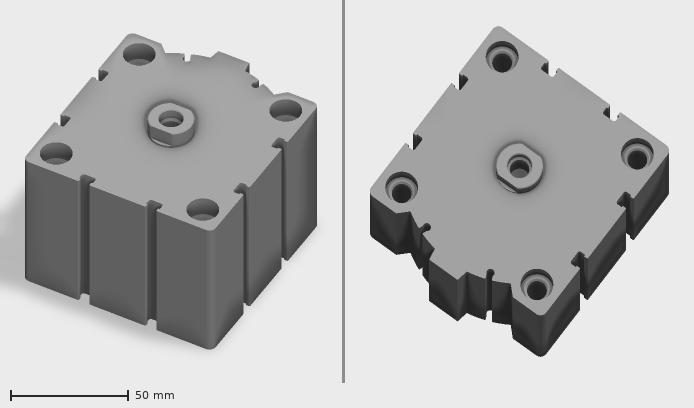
import cadquery as cq
import math

block_side = 93.0
block_half = block_side / 2
block_height = 69.0
corner_radius = 3.0

overall_depth = 101.0
tab_back = overall_depth - block_half
tab_tip_half_width = 7.6
tab_root_half_width = 8.5
back_radius = 49.9
shoulder_half_width = 31.0

slot_offset = 16.5
slot_mouth_width = 5.2
slot_inner_width = 6.7
slot_depth = 5.0
slot_lip_depth = 1.8
slot_mouth_radius = 0.4
slot_corner_radius = 1.0

groove_angle = 21.2
groove_center_radius = 46.8
groove_diameter = 3.5
groove_neck_width = 2.7
groove_mouth_radius = 0.4

bolt_offset = 36.0
bolt_diameter = 8.5
bolt_chamfer = 0.8
counterbore_diameter = 14.0
counterbore_depth = 9.1

rod_diameter = 20.0
rod_radius = rod_diameter / 2
rod_projection = 8.0
rod_insertion = 20.2
rod_top = block_height + rod_projection
rod_chamfer = 0.4
flat_spacing = 17.0
flat_length = 7.0
socket_diameter = 10.5
socket_depth = 4.7
socket_chamfer = 0.4
thread_diameter = 8.4
thread_chamfer = 0.8
thread_depth = 20.2
drill_tip_angle = 118.0


def make_block():
    """Extruded housing outline: square front, notched and rounded back with a tab."""
    wall_sum = block_half - shoulder_half_width
    notch_x = (math.sqrt(2 * back_radius**2 - wall_sum**2) - wall_sum) / 2
    notch_y = notch_x + wall_sum
    tab_root_y = math.sqrt(back_radius**2 - tab_root_half_width**2)
    arc_middle_angle = (math.atan2(notch_y, notch_x) + math.atan2(tab_root_y, tab_root_half_width)) / 2
    arc_x = back_radius * math.cos(arc_middle_angle)
    arc_y = back_radius * math.sin(arc_middle_angle)

    block = (
        cq.Workplane("XY")
        .moveTo(-block_half, -block_half)
        .lineTo(block_half, -block_half)
        .lineTo(block_half, block_half)
        .lineTo(shoulder_half_width, block_half)
        .lineTo(notch_x, notch_y)
        .threePointArc((arc_x, arc_y), (tab_root_half_width, tab_root_y))
        .lineTo(tab_tip_half_width, tab_back)
        .lineTo(-tab_tip_half_width, tab_back)
        .lineTo(-tab_root_half_width, tab_root_y)
        .threePointArc((-arc_x, arc_y), (-notch_x, notch_y))
        .lineTo(-shoulder_half_width, block_half)
        .lineTo(-block_half, block_half)
        .close()
        .extrude(block_height)
    )
    for x_side in ("<X", ">X"):
        block = block.edges("|Z").edges(x_side).fillet(corner_radius)
    return block


def make_t_slot():
    """T-slot cutter at the middle of the front face, opening toward -Y with rounded lips."""
    front = -block_half
    mouth_half = slot_mouth_width / 2
    entry_half = mouth_half + slot_mouth_radius
    lip_end = front + slot_mouth_radius
    mouth = (
        cq.Workplane("XY")
        .moveTo(-entry_half, front)
        .lineTo(entry_half, front)
        .radiusArc((mouth_half, lip_end), slot_mouth_radius)
        .lineTo(mouth_half, front + slot_lip_depth)
        .lineTo(-mouth_half, front + slot_lip_depth)
        .lineTo(-mouth_half, lip_end)
        .radiusArc((-entry_half, front), slot_mouth_radius)
        .close()
        .extrude(block_height)
    )
    cavity = (
        cq.Workplane("XY")
        .center(0, front + (slot_lip_depth + slot_depth) / 2)
        .rect(slot_inner_width, slot_depth - slot_lip_depth)
        .extrude(block_height)
        .edges("|Z and >Y")
        .fillet(slot_corner_radius)
    )
    return mouth.union(cavity)


def make_sensor_groove(angle):
    """Keyhole cutter on the +Y axis, turned about the rod axis by the angle."""
    neck_length = block_half
    bottom = cq.Workplane("XY").center(0, groove_center_radius).circle(groove_diameter / 2).extrude(block_height)
    neck = (
        cq.Workplane("XY")
        .center(0, groove_center_radius + neck_length / 2)
        .rect(groove_neck_width, neck_length)
        .extrude(block_height)
    )
    return bottom.union(neck).rotate((0, 0, 0), (0, 0, 1), angle)


def round_groove_mouths(housing):
    """Round the vertical edges where the sensor grooves break through the back arc."""
    neck_half = groove_neck_width / 2
    mouth_distance = math.sqrt(back_radius**2 - neck_half**2)
    for angle in (-groove_angle, groove_angle):
        for side in (-neck_half, neck_half):
            corner = cq.Vertex.makeVertex(side, mouth_distance, block_height / 2)
            point = corner.rotate((0, 0, 0), (0, 0, 1), angle).toTuple()
            housing = housing.edges("|Z").edges(cq.NearestToPointSelector(point)).fillet(groove_mouth_radius)
    return housing


def make_bolt_hole():
    """Revolved cutter for one counterbored, chamfered through hole."""
    bolt_radius = bolt_diameter / 2
    counterbore_radius = counterbore_diameter / 2
    floor = block_height - counterbore_depth
    return (
        cq.Workplane("XZ")
        .lineTo(bolt_radius, 0)
        .lineTo(bolt_radius, floor - bolt_chamfer)
        .lineTo(bolt_radius + bolt_chamfer, floor)
        .lineTo(counterbore_radius, floor)
        .lineTo(counterbore_radius, block_height)
        .lineTo(0, block_height)
        .close()
        .revolve(360, (0, 0, 0), (0, 1, 0))
    )


def make_housing():
    """Housing with its slots, grooves, bolt holes and the recess for the rod."""
    housing = make_block()

    t_slot = make_t_slot()
    for face_angle in (-90, 0, 90):
        for offset in (-slot_offset, slot_offset):
            cutter = t_slot.translate((offset, 0, 0)).rotate((0, 0, 0), (0, 0, 1), face_angle)
            housing = housing.cut(cutter)

    for angle in (-groove_angle, groove_angle):
        housing = housing.cut(make_sensor_groove(angle))

    housing = round_groove_mouths(housing)

    bolt_hole = make_bolt_hole()
    for x in (-bolt_offset, bolt_offset):
        for y in (-bolt_offset, bolt_offset):
            housing = housing.cut(bolt_hole.translate((x, y, 0)))

    rod_recess = (
        cq.Workplane("XY", origin=(0, 0, block_height - rod_insertion))
        .circle(rod_radius)
        .extrude(rod_insertion)
    )
    return housing.cut(rod_recess)


def make_rod_socket():
    """Revolved cutter for the stepped socket: rim chamfer, wide bore, chamfered thread hole and drill tip."""
    socket_radius = socket_diameter / 2
    thread_radius = thread_diameter / 2
    socket_floor = rod_top - socket_depth
    thread_floor = rod_top - thread_depth
    tip_height = thread_radius / math.tan(math.radians(drill_tip_angle / 2))
    return (
        cq.Workplane("XZ")
        .moveTo(0, rod_top)
        .lineTo(socket_radius + socket_chamfer, rod_top)
        .lineTo(socket_radius, rod_top - socket_chamfer)
        .lineTo(socket_radius, socket_floor)
        .lineTo(thread_radius + thread_chamfer, socket_floor)
        .lineTo(thread_radius, socket_floor - thread_chamfer)
        .lineTo(thread_radius, thread_floor)
        .lineTo(0, thread_floor - tip_height)
        .close()
        .revolve(360, (0, 0, 0), (0, 1, 0))
    )


def make_rod():
    """Piston rod end with a chamfered rim, two wrench flats and the socket."""
    rod = (
        cq.Workplane("XY", origin=(0, 0, block_height - rod_insertion))
        .circle(rod_radius)
        .extrude(rod_insertion + rod_projection)
        .faces(">Z")
        .chamfer(rod_chamfer)
    )
    flat_depth = (rod_diameter - flat_spacing) / 2
    for side in (-1, 1):
        flat_cutter = cq.Workplane("XY").box(rod_diameter, flat_depth, flat_length).translate(
            (0, side * (flat_spacing + flat_depth) / 2, rod_top - flat_length / 2)
        )
        rod = rod.cut(flat_cutter)
    return rod.cut(make_rod_socket())


housing = make_housing()
rod = make_rod()
result = cq.Compound.makeCompound([housing.val(), rod.val()])